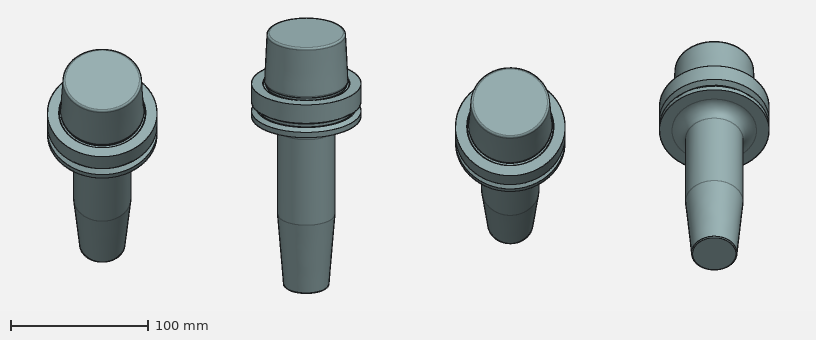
import cadquery as cq

total_height = 199.9
flange_top = 160.0
flange_bottom = 134.0
nose_cone_top = 56.4

tip_radius = 16.5
tip_chamfer = 0.8
stem_radius = 21.0
stem_fillet = 9.8

flange_radius = 40.0
groove_center = 141.7
groove_mouth_width = 7.2
groove_floor_width = 2.8
groove_flank_radius = 36.2
groove_floor_radius = 35.0

taper_top_radius = 28.5
taper_root_radius = 30.4
collar_top = 162.3
collar_bottom = 161.3
taper_top_fillet = 1.5
neck_radius = 29.5
neck_top = 160.7
recess_mouth_radius = 31.8
recess_floor_radius = 31.2
recess_depth = 0.8


def make_body():
    """Revolve the stem, flange and taper shank about Z."""
    profile = (
        cq.Workplane("XZ")
        .moveTo(0, 0)
        .lineTo(tip_radius - tip_chamfer, 0)
        .lineTo(tip_radius, tip_chamfer)
        .lineTo(stem_radius, nose_cone_top)
        .lineTo(stem_radius, flange_bottom - stem_fillet)
        .radiusArc((stem_radius + stem_fillet, flange_bottom), stem_fillet)
        .lineTo(flange_radius, flange_bottom)
        .lineTo(flange_radius, flange_top)
        .lineTo(recess_mouth_radius, flange_top)
        .lineTo(recess_floor_radius, flange_top - recess_depth)
        .lineTo(neck_radius, flange_top - recess_depth)
        .lineTo(neck_radius, neck_top)
        .lineTo(taper_root_radius, collar_bottom)
        .lineTo(taper_root_radius, collar_top)
        .lineTo(taper_top_radius, total_height)
        .lineTo(0, total_height)
        .close()
    )
    body = profile.revolve(360, (0, 0, 0), (0, 1, 0))
    return body.faces(">Z").edges().fillet(taper_top_fillet)


def make_gripper_groove():
    """Ring cutter with sloping flanks and a narrower square floor."""
    half_mouth = groove_mouth_width / 2
    half_floor = groove_floor_width / 2
    return (
        cq.Workplane("XZ")
        .moveTo(flange_radius, groove_center - half_mouth)
        .lineTo(groove_flank_radius, groove_center - half_floor)
        .lineTo(groove_floor_radius, groove_center - half_floor)
        .lineTo(groove_floor_radius, groove_center + half_floor)
        .lineTo(groove_flank_radius, groove_center + half_floor)
        .lineTo(flange_radius, groove_center + half_mouth)
        .close()
        .revolve(360, (0, 0, 0), (0, 1, 0))
    )


result = make_body().cut(make_gripper_groove())